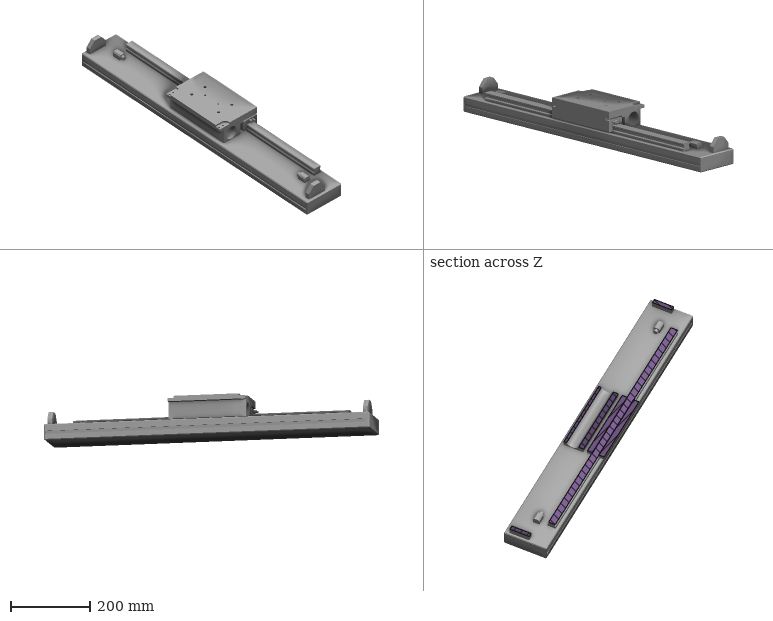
import cadquery as cq

BASE_LENGTH = 840.0
BASE_WIDTH = 119.0
BASE_HEIGHT = 40.0
BASE_CHAMFER = 2.1
OVERALL_HEIGHT = 99.0

GROOVE_BOTTOM = 15.0
GROOVE_HEIGHT = 7.5
GROOVE_DEPTH = 2.5
GROOVE_END_MARGIN = 5.0

STOP_OUTER_X = 356.0
STOP_LENGTH = 24.0
STOP_WIDTH = 18.0
STOP_HEIGHT = 15.0
STOP_CHAMFER = 3.0
BUFFER_DIAMETER = 12.0
BUFFER_LENGTH = 7.5

SUPPORT_CENTRE_X = 407.0
SUPPORT_THICKNESS = 13.0
SUPPORT_CENTRE_Y = -19.0
SUPPORT_WIDTH = 55.5
SUPPORT_TOP_WIDTH = 23.0
SUPPORT_SIDE_HEIGHT = 16.0
SUPPORT_HEIGHT = 35.0

RAIL_LENGTH = 700.5
RAIL_CENTRE_Y = 40.0
RAIL_WIDTH = 23.0
RAIL_HEIGHT = 22.0
RAIL_WAIST_WIDTH = 18.0
RAIL_FOOT_HEIGHT = 7.0
RAIL_WAIST_BOTTOM = 9.0
RAIL_WAIST_TOP = 14.0
RAIL_HEAD_BOTTOM = 17.0
RAIL_TOP_CHAMFER = 1.3

BLOCK_WIDTH = 48.0
BLOCK_BOTTOM = 45.0
BLOCK_TOP = 81.0
CAP_TOP = 76.0
CAP_LENGTH = 12.0
BLOCK_EDGE_CHAMFER = 2.0
NIPPLE_DIAMETER = 8.1
NIPPLE_LENGTH = 7.5
NIPPLE_Y = 40.0
NIPPLE_Z = 70.0
NOZZLE_DIAMETER = 5.0
NOZZLE_LENGTH = 10.0
NOZZLE_Y = 49.0

CARRIAGE_LENGTH = 200.0
CARRIAGE_BACK_Y = 65.0
CARRIAGE_WIDTH = 128.0
PLATE_UNDERSIDE = 76.0
LIP_UNDERSIDE = 86.0
HOUSING_FRONT_Y = -49.5
HOUSING_BACK_Y = 7.0
HOUSING_BOTTOM = 43.0
BORE_DIAMETER = 37.0
BORE_Y = -24.0
BORE_Z = 64.0

BOLT_DIAMETER = 8.0
BOLT_SPACING_X = 100.0
BOLT_SPACING_Y = 45.0
BOLT_DEPTH = 10.0
DOWEL_DIAMETER = 5.0
DOWEL_SPACING_X = 49.0
DOWEL_DEPTH = 10.0

RECESS_WIDTH = 16.0
RECESS_LENGTH = 33.0
RECESS_DEPTH = 5.0
RECESS_CORNER = 7.0
RECESS_HOLE_DIAMETER = 5.0
RECESS_HOLE_EDGE = 7.5
RECESS_HOLE_SETBACKS = (4.0, 17.0)
RECESS_HOLE_DEPTH = 8.0

CARRIAGE_FRONT_Y = CARRIAGE_BACK_Y - CARRIAGE_WIDTH
CARRIAGE_CENTRE_Y = CARRIAGE_BACK_Y - CARRIAGE_WIDTH / 2
BLOCK_FRONT_Y = CARRIAGE_BACK_Y - BLOCK_WIDTH
SIDES = (-1, 1)


def box(x_range, y_range, z_range):
    """A box between two limits along each axis."""
    (x0, x1), (y0, y1), (z0, z1) = x_range, y_range, z_range
    return cq.Workplane("XY").box(x1 - x0, y1 - y0, z1 - z0, centered=False).translate((x0, y0, z0))


def extrude_along_x(points, length):
    """A Y-Z outline extruded to the given length, centred on X = 0."""
    return cq.Workplane("YZ").polyline(points).close().extrude(length / 2, both=True)


def cylinder_along_x(diameter, x_start, length, y, z):
    """A cylinder that runs from x_start by a signed length."""
    return cq.Workplane("YZ", origin=(x_start, y, z)).circle(diameter / 2).extrude(length)


def make_stop(side):
    inner_x = STOP_OUTER_X - STOP_LENGTH
    top = BASE_HEIGHT + STOP_HEIGHT
    x_range = sorted((side * inner_x, side * STOP_OUTER_X))
    stop = box(x_range, (-STOP_WIDTH / 2, STOP_WIDTH / 2), (BASE_HEIGHT, top))
    stop = stop.faces(">Z").edges("|X").chamfer(STOP_CHAMFER)
    buffer_z = BASE_HEIGHT + BUFFER_DIAMETER / 2
    return stop.union(cylinder_along_x(BUFFER_DIAMETER, side * inner_x, -side * BUFFER_LENGTH, 0, buffer_z))


def make_base():
    base = cq.Workplane("XY").box(BASE_LENGTH, BASE_WIDTH, BASE_HEIGHT, centered=(True, True, False))
    base = base.edges().chamfer(BASE_CHAMFER)
    groove_end = BASE_LENGTH / 2 - GROOVE_END_MARGIN
    for side in SIDES:
        y_range = sorted((side * BASE_WIDTH / 2, side * (BASE_WIDTH / 2 - GROOVE_DEPTH)))
        z_range = (GROOVE_BOTTOM, GROOVE_BOTTOM + GROOVE_HEIGHT)
        base = base.cut(box((-groove_end, groove_end), y_range, z_range))
        base = base.union(make_stop(side))
    return base


def make_support(side):
    half = SUPPORT_WIDTH / 2
    half_top = SUPPORT_TOP_WIDTH / 2
    outline = [
        (-half, 0),
        (half, 0),
        (half, SUPPORT_SIDE_HEIGHT),
        (half_top, SUPPORT_HEIGHT),
        (-half_top, SUPPORT_HEIGHT),
        (-half, SUPPORT_SIDE_HEIGHT),
    ]
    support = extrude_along_x(outline, SUPPORT_THICKNESS)
    return support.translate((side * SUPPORT_CENTRE_X, SUPPORT_CENTRE_Y, BASE_HEIGHT))


def make_rail():
    half = RAIL_WIDTH / 2
    waist = RAIL_WAIST_WIDTH / 2
    right_side = [
        (half, 0),
        (half, RAIL_FOOT_HEIGHT),
        (waist, RAIL_WAIST_BOTTOM),
        (waist, RAIL_WAIST_TOP),
        (half, RAIL_HEAD_BOTTOM),
        (half, RAIL_HEIGHT - RAIL_TOP_CHAMFER),
        (half - RAIL_TOP_CHAMFER, RAIL_HEIGHT),
    ]
    left_side = [(-y, z) for y, z in reversed(right_side)]
    rail = extrude_along_x(right_side + left_side, RAIL_LENGTH)
    return rail.translate((0, RAIL_CENTRE_Y, BASE_HEIGHT))


def make_block(rail):
    half_length = CARRIAGE_LENGTH / 2
    y_range = (BLOCK_FRONT_Y, CARRIAGE_BACK_Y)
    block = box((-half_length, half_length), y_range, (BLOCK_BOTTOM, BLOCK_TOP))
    block = block.faces("<Z").edges("|X").chamfer(BLOCK_EDGE_CHAMFER)
    for side in SIDES:
        end_x = side * half_length
        cap_range = sorted((end_x, end_x - side * CAP_LENGTH))
        block = block.cut(box(cap_range, y_range, (CAP_TOP, BLOCK_TOP)))
        nipple = cylinder_along_x(NIPPLE_DIAMETER, end_x, side * NIPPLE_LENGTH, NIPPLE_Y, NIPPLE_Z)
        nozzle = cylinder_along_x(NOZZLE_DIAMETER, end_x, side * NOZZLE_LENGTH, NOZZLE_Y, NIPPLE_Z)
        block = block.union(nipple).union(nozzle)
    return block.cut(rail)


def cut_corner_recess(carriage, side):
    edge_x = side * CARRIAGE_LENGTH / 2
    inner_x = edge_x - side * RECESS_WIDTH
    back_y = CARRIAGE_FRONT_Y + RECESS_LENGTH
    floor = OVERALL_HEIGHT - RECESS_DEPTH
    outline = [
        (edge_x, CARRIAGE_FRONT_Y),
        (inner_x, CARRIAGE_FRONT_Y),
        (inner_x, back_y - RECESS_CORNER),
        (inner_x + side * RECESS_CORNER, back_y),
        (edge_x, back_y),
    ]
    recess = cq.Workplane("XY", origin=(0, 0, floor)).polyline(outline).close().extrude(RECESS_DEPTH)
    hole_x = edge_x - side * RECESS_HOLE_EDGE
    hole_points = [(hole_x, CARRIAGE_FRONT_Y + setback) for setback in RECESS_HOLE_SETBACKS]
    holes = cq.Workplane("XY", origin=(0, 0, floor)).pushPoints(hole_points)
    return carriage.cut(recess).cut(holes.circle(RECESS_HOLE_DIAMETER / 2).extrude(-RECESS_HOLE_DEPTH))


def make_carriage():
    outline = [
        (CARRIAGE_BACK_Y, OVERALL_HEIGHT),
        (CARRIAGE_BACK_Y, BLOCK_TOP),
        (BLOCK_FRONT_Y, BLOCK_TOP),
        (BLOCK_FRONT_Y, PLATE_UNDERSIDE),
        (HOUSING_BACK_Y, PLATE_UNDERSIDE),
        (HOUSING_BACK_Y, HOUSING_BOTTOM),
        (HOUSING_FRONT_Y, HOUSING_BOTTOM),
        (HOUSING_FRONT_Y, LIP_UNDERSIDE),
        (CARRIAGE_FRONT_Y, LIP_UNDERSIDE),
        (CARRIAGE_FRONT_Y, OVERALL_HEIGHT),
    ]
    carriage = extrude_along_x(outline, CARRIAGE_LENGTH)
    carriage = carriage.cut(
        cylinder_along_x(BORE_DIAMETER, -CARRIAGE_LENGTH / 2, CARRIAGE_LENGTH, BORE_Y, BORE_Z)
    )
    top = cq.Workplane("XY", origin=(0, CARRIAGE_CENTRE_Y, OVERALL_HEIGHT))
    bolts = top.rarray(BOLT_SPACING_X, BOLT_SPACING_Y, 2, 2).circle(BOLT_DIAMETER / 2).extrude(-BOLT_DEPTH)
    dowels = top.rarray(DOWEL_SPACING_X, 8, 2, 1).circle(DOWEL_DIAMETER / 2).extrude(-DOWEL_DEPTH)
    carriage = carriage.cut(bolts).cut(dowels)
    for side in SIDES:
        carriage = cut_corner_recess(carriage, side)
    return carriage


base = make_base()
supports = [make_support(side) for side in SIDES]
rail = make_rail()
block = make_block(rail)
carriage = make_carriage()

result = cq.Compound.makeCompound(
    [base.val(), *[support.val() for support in supports], rail.val(), block.val(), carriage.val()]
)